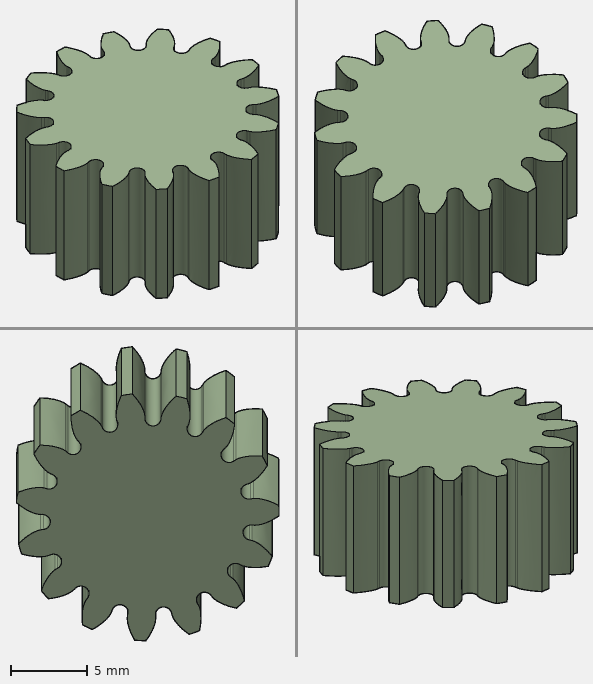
import cadquery as cq
import math

TOOTH_COUNT = 15
TIP_RADIUS = 8.63
ROOT_RADIUS = 6.35
FACE_WIDTH = 9.0
PITCH_RADIUS = 7.5
PRESSURE_ANGLE = math.radians(20)
TOOTH_THICKNESS = 1.77
FLANK_STEPS = 6

base_radius = PITCH_RADIUS * math.cos(PRESSURE_ANGLE)
tooth_pitch = 2 * math.pi / TOOTH_COUNT


def polar(radius, angle):
    return (radius * math.cos(angle), radius * math.sin(angle))


def involute(radius):
    """Polar angle of the involute at a radius, counted from the base circle."""
    pressure = math.acos(base_radius / radius)
    return math.tan(pressure) - pressure


base_half_angle = TOOTH_THICKNESS / (2 * PITCH_RADIUS) + involute(PITCH_RADIUS)

gap_half_angle = tooth_pitch / 2 - base_half_angle
round_centre_radius = ROOT_RADIUS / (1 - math.sin(gap_half_angle))
flank_foot_radius = round_centre_radius * math.cos(gap_half_angle)


def flank(centre_angle, side):
    """Involute points from base circle to tip; side is -1 or +1."""
    points = []
    for step in range(FLANK_STEPS + 1):
        radius = base_radius + (TIP_RADIUS - base_radius) * step / FLANK_STEPS
        points.append(polar(radius, centre_angle + side * (base_half_angle - involute(radius))))
    return points


def add_tooth(outline, centre_angle):
    """Draw one tooth and the gap after it, going anticlockwise."""
    rising = flank(centre_angle, -1)
    falling = flank(centre_angle, 1)[::-1]
    gap_angle = centre_angle + tooth_pitch / 2
    outline = outline.lineTo(*rising[0])
    outline = outline.spline(rising[1:], includeCurrent=True)
    outline = outline.threePointArc(polar(TIP_RADIUS, centre_angle), falling[0])
    outline = outline.spline(falling[1:], includeCurrent=True)
    outline = outline.lineTo(*polar(flank_foot_radius, gap_angle - gap_half_angle))
    return outline.threePointArc(
        polar(ROOT_RADIUS, gap_angle),
        polar(flank_foot_radius, gap_angle + gap_half_angle),
    )


profile = cq.Workplane("XY").moveTo(*polar(flank_foot_radius, -base_half_angle))
for tooth in range(TOOTH_COUNT):
    profile = add_tooth(profile, tooth * tooth_pitch)

result = profile.close().extrude(FACE_WIDTH)